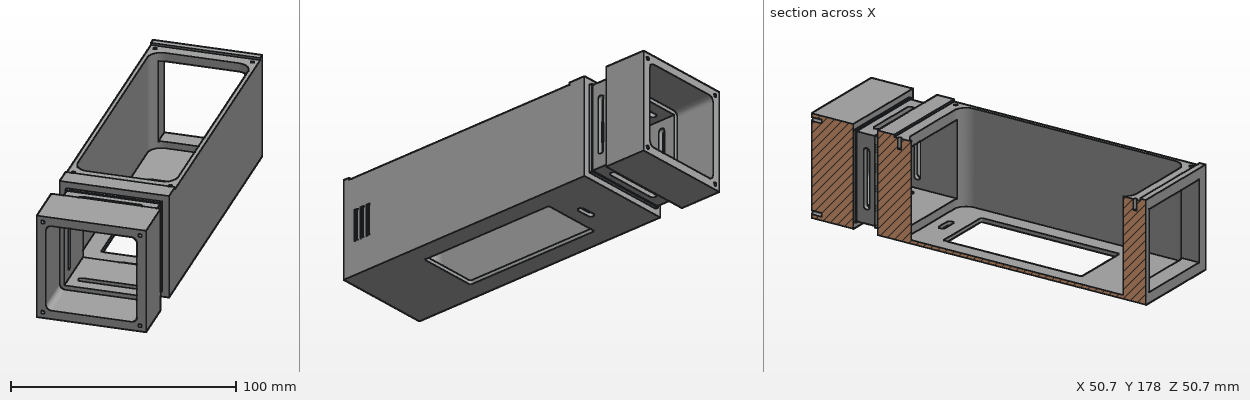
import cadquery as cq

length = 178.0
side = 50.7
half_side = side / 2

head_end = 22.2
neck_end = 35.0
front_collar_length = 1.0
rear_collar_length = 1.6

neck_side = 43.5
collar_side = 44.5
neck_slot_length = 29.5
neck_slot_width = 3.2
neck_slot_y = 28.7

passage_side = 38.0
pocket_side = 42.2
pocket_depth = 21.2
pocket_radius = 2.7

recess_start = 44.1
recess_end = length - 3.2
recess_depth = 1.0

cavity_width = 46.6
cavity_start = 49.7
cavity_end = 169.3
cavity_radius = 6.4
side_wall = (side - cavity_width) / 2
floor_thickness = side_wall

rear_opening_side = 40.0

window_width = 30.6
window_start = 65.1
window_end = 138.8
window_radius = 0.9
floor_slot_length = 9.5
floor_slot_width = 3.2
floor_slot_y = 56.6

screw_diameter = 1.6
screw_depth = 5.3
screw_offset = half_side - 2.8
lid_screw_inset = 2.7

vent_count = 3
vent_pitch = 3.5
vent_width = 2.0
vent_depth = 1.0
vent_height = 15.7
vent_middle_y = length - 10.9


def bar(width, start, end, height):
    """Box centred on X and Z, running along Y from start to end."""
    middle = (start + end) / 2
    return cq.Workplane("XY").box(width, end - start, height).translate((0, middle, 0))


def upright(width, start, end, bottom, top, radius):
    """Vertical block between two heights with rounded corners."""
    block = bar(width, start, end, top - bottom).edges("|Z").fillet(radius)
    return block.translate((0, 0, (top + bottom) / 2))


def make_body():
    head = bar(side, 0, head_end, side)
    front_collar = bar(collar_side, head_end, head_end + front_collar_length, collar_side)
    neck = bar(neck_side, head_end, neck_end, neck_side)
    rear_collar = bar(collar_side, neck_end - rear_collar_length, neck_end, collar_side)
    housing = bar(side, neck_end, length, side)
    return head.union(front_collar).union(neck).union(rear_collar).union(housing)


def cut_passage(body):
    pocket = bar(pocket_side, 0, pocket_depth, pocket_side).edges("|Y").fillet(pocket_radius)
    passage = bar(passage_side, 0, cavity_start + cavity_radius, passage_side)
    rear_opening = bar(rear_opening_side, cavity_end - cavity_radius, length, rear_opening_side)
    return body.cut(pocket).cut(passage).cut(rear_opening)


def cut_neck_slots(body):
    vertical_slot = (
        cq.Workplane("XY")
        .center(0, neck_slot_y)
        .slot2D(neck_slot_length, neck_slot_width)
        .extrude(half_side, both=True)
    )
    crosswise_slot = vertical_slot.rotate((0, 0, 0), (0, 1, 0), 90)
    return body.cut(vertical_slot).cut(crosswise_slot)


def cut_cavity(body):
    floor_top = floor_thickness - half_side
    recess = bar(side, recess_start, recess_end, recess_depth)
    recess = recess.translate((0, 0, half_side - recess_depth / 2))
    cavity = upright(cavity_width, cavity_start, cavity_end, floor_top, half_side, cavity_radius)
    return body.cut(recess).cut(cavity)


def cut_floor_openings(body):
    floor_top = floor_thickness - half_side
    window = upright(window_width, window_start, window_end, -half_side, floor_top, window_radius)
    slot = (
        cq.Workplane("XY", origin=(0, floor_slot_y, -half_side))
        .slot2D(floor_slot_length, floor_slot_width)
        .extrude(floor_thickness)
    )
    return body.cut(window).cut(slot)


def cut_screw_holes(body):
    ends = (-screw_offset, screw_offset)
    front_points = [(x, z) for x in ends for z in ends]
    lid_rows = (recess_start + lid_screw_inset, recess_end - lid_screw_inset)
    lid_points = [(x, y) for x in ends for y in lid_rows]
    front_holes = (
        cq.Workplane("XZ")
        .pushPoints(front_points)
        .circle(screw_diameter / 2)
        .extrude(-screw_depth)
    )
    lid_holes = (
        cq.Workplane("XY", origin=(0, 0, half_side - recess_depth))
        .pushPoints(lid_points)
        .circle(screw_diameter / 2)
        .extrude(-screw_depth)
    )
    return body.cut(front_holes).cut(lid_holes)


def cut_vents(body):
    vents = (
        cq.Workplane("YZ", origin=(-half_side, vent_middle_y, 0))
        .rarray(vent_pitch, 1.8, vent_count, 1)
        .rect(vent_width, vent_height)
        .extrude(vent_depth)
    )
    return body.cut(vents)


result = make_body()
result = cut_passage(result)
result = cut_neck_slots(result)
result = cut_cavity(result)
result = cut_floor_openings(result)
result = cut_screw_holes(result)
result = cut_vents(result)